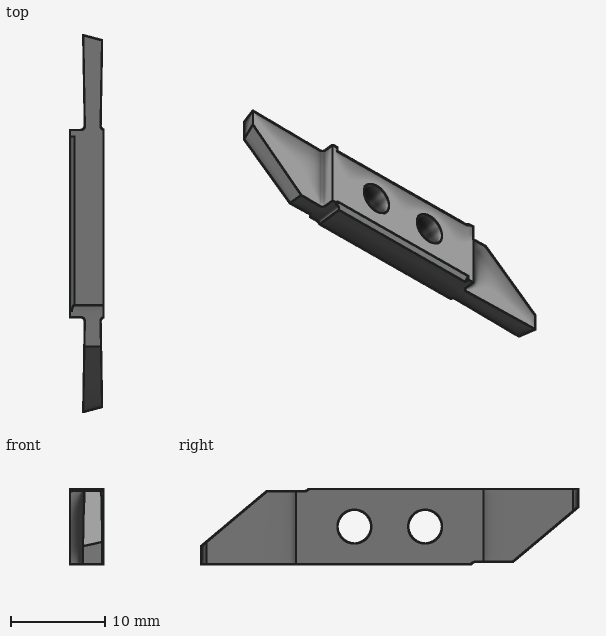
import cadquery as cq
import math

thickness = 3.6
length = 40.0
height = 8.0

body_length = 19.9
bevel_size = 0.5
bevel_length = 18.5

relief_depth = 0.25
relief_radius = 0.6
relief_tangent_y = 9.1

blade_tip_width = 2.03
blade_long_corner_x = -0.39
side_taper = math.radians(1)
tip_skew = math.radians(15)
root_radius = 0.4
tip_height = 1.92
slope_angle = math.radians(40)

hole_diameter = 3.55
hole_spacing = 7.5

half_thickness = thickness / 2
half_length = length / 2
half_height = height / 2
shoulder_y = body_length / 2


def half_turn(shape):
    """Turn a shape half a revolution about the X axis."""
    return shape.rotate((0, 0, 0), (1, 0, 0), 180)


def side_clearance(corner_x, corner_y, outward):
    """Space beside the +Y blade, bounded by its tapered side, root fillet and shoulder.

    The side starts at the given tip corner; outward is -1 on the -X side, +1 on the +X side.
    """
    outer_x = outward * thickness
    beyond_y = length
    slope = math.tan(side_taper)
    root_x = corner_x - outward * (corner_y - shoulder_y) * slope
    beyond_x = corner_x + outward * (beyond_y - corner_y) * slope
    return (
        cq.Workplane("XY", origin=(0, 0, -half_height))
        .polyline([
            (outer_x, shoulder_y),
            (root_x, shoulder_y),
            (beyond_x, beyond_y),
            (outer_x, beyond_y),
        ])
        .close()
        .extrude(height)
        .edges(cq.selectors.NearestToPointSelector((root_x, shoulder_y, 0)))
        .fillet(root_radius)
    )


def tip_clearance(short_corner_x, short_corner_y):
    """Space beyond the skewed end face of the +Y blade."""
    skew = math.tan(tip_skew)
    left_y = short_corner_y + (short_corner_x + thickness) * skew
    right_y = short_corner_y - (thickness - short_corner_x) * skew
    return (
        cq.Workplane("XY", origin=(0, 0, -half_height))
        .polyline([
            (-thickness, left_y),
            (thickness, right_y),
            (thickness, length),
            (-thickness, length),
        ])
        .close()
        .extrude(height)
    )


def make_side_profile():
    """Silhouette in the YZ plane of the +Y half, extruded through the thickness."""
    relieved_z = relief_depth - half_height
    slope_top_z = half_height - tip_height
    slope_run = (slope_top_z - relieved_z) / math.tan(slope_angle)
    runout_angle = math.acos(1 - relief_depth / relief_radius)

    def runout_point(angle):
        return (
            relief_tangent_y - relief_radius * math.sin(angle),
            relieved_z - relief_radius * (1 - math.cos(angle)),
        )

    return (
        cq.Workplane("YZ", origin=(-half_thickness, 0, 0))
        .moveTo(0, half_height)
        .lineTo(half_length, half_height)
        .lineTo(half_length, slope_top_z)
        .lineTo(half_length - slope_run, relieved_z)
        .lineTo(relief_tangent_y, relieved_z)
        .threePointArc(runout_point(runout_angle / 2), runout_point(runout_angle))
        .lineTo(0, -half_height)
        .close()
        .extrude(thickness)
    )


def make_half():
    """The +Y half of the part, with its blade."""
    short_corner_x = blade_long_corner_x + blade_tip_width
    short_corner_y = half_length - blade_tip_width * math.tan(tip_skew)
    return (
        make_side_profile()
        .cut(side_clearance(blade_long_corner_x, half_length, -1))
        .cut(side_clearance(short_corner_x, short_corner_y, 1))
        .cut(tip_clearance(short_corner_x, short_corner_y))
    )


def bevel_cutter():
    """Triangular prism removing the upper -X edge, stopping short of both shoulders."""
    return (
        cq.Workplane("XZ", origin=(0, bevel_length / 2, 0))
        .polyline([
            (-half_thickness, half_height),
            (-half_thickness + bevel_size, half_height),
            (-half_thickness, half_height - bevel_size),
        ])
        .close()
        .extrude(bevel_length)
    )


def mounting_holes():
    """Two cylinders through the thickness."""
    return (
        cq.Workplane("YZ", origin=(-half_thickness, 0, 0))
        .pushPoints([(-hole_spacing / 2, 0), (hole_spacing / 2, 0)])
        .circle(hole_diameter / 2)
        .extrude(thickness)
    )


half = make_half()
bevel = bevel_cutter()
result = (
    half.union(half_turn(half))
    .clean()
    .cut(bevel)
    .cut(half_turn(bevel))
    .cut(mounting_holes())
)